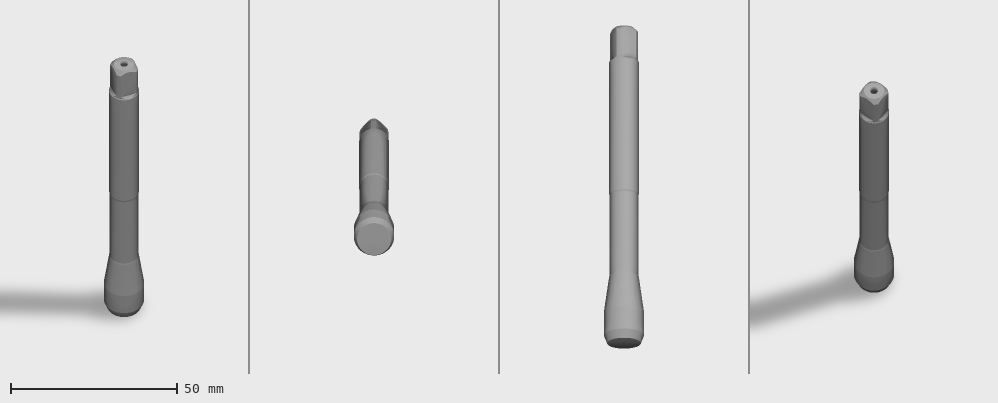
import cadquery as cq
import math

TOTAL_LENGTH = 100
SHANK_TOP = 89.4
SHANK_BOTTOM = 46.9
HEAD_TOP = 21.5

SHANK_DIAMETER = 9
SHANK_TOP_CHAMFER_HEIGHT = 0.3
NECK_DIAMETER = 8.7
SHANK_TAPER_LENGTH = 0.6

SQUARE_WIDTH = 7
SQUARE_CORNER_DIAMETER = 8.6
FLAT_BOTTOM = 90
FLAT_RUNOUT_WIDTH = 1.2
FLAT_RUNOUT_ANGLE = 40
FLAT_RUNOUT_HEIGHT = FLAT_RUNOUT_WIDTH * math.tan(math.radians(FLAT_RUNOUT_ANGLE))
SQUARE_END_DIAMETER = 6
SQUARE_END_CHAMFER = (SQUARE_CORNER_DIAMETER - SQUARE_END_DIAMETER) / 2

CENTRE_HOLE_DIAMETER = 2
CENTRE_HOLE_MOUTH_DIAMETER = 2.5
CENTRE_HOLE_MOUTH_DEPTH = 0.4
CENTRE_HOLE_BORE_DEPTH = 3
CENTRE_HOLE_CONE_ANGLE = 120

HEAD_DIAMETER = 12.2
HEAD_NECK_DIAMETER = 9
HEAD_TOP_TAPER = 0.6
HEAD_CYLINDER_TOP = 9.6
HEAD_CYLINDER_BOTTOM = 2.6
HEAD_TIP_DIAMETER = 10.2


def revolve_profile(radius_and_height):
    """Turn a half profile, given as (radius, height) points, around the Z axis."""
    return (
        cq.Workplane("XZ")
        .polyline(radius_and_height)
        .close()
        .revolve(360, (0, 0), (0, 1))
    )


def make_square_envelope():
    """Square bar whose four flats run out in slopes onto the shank."""
    flared_width = SQUARE_WIDTH + 2 * FLAT_RUNOUT_WIDTH
    straight_bar = (
        cq.Workplane("XY")
        .workplane(offset=FLAT_BOTTOM)
        .rect(SQUARE_WIDTH, SQUARE_WIDTH)
        .extrude(TOTAL_LENGTH - FLAT_BOTTOM)
    )
    runout = (
        cq.Workplane("XY")
        .workplane(offset=FLAT_BOTTOM - FLAT_RUNOUT_HEIGHT)
        .rect(flared_width, flared_width)
        .workplane(offset=FLAT_RUNOUT_HEIGHT)
        .rect(SQUARE_WIDTH, SQUARE_WIDTH)
        .loft(ruled=True)
    )
    full_bar = (
        cq.Workplane("XY")
        .rect(flared_width, flared_width)
        .extrude(FLAT_BOTTOM - FLAT_RUNOUT_HEIGHT)
    )
    return full_bar.union(runout).union(straight_bar)


def make_centre_hole():
    """Centre hole in the end of the driving square."""
    hole_radius = CENTRE_HOLE_DIAMETER / 2
    cone_depth = hole_radius / math.tan(math.radians(CENTRE_HOLE_CONE_ANGLE / 2))
    return revolve_profile([
        (0, TOTAL_LENGTH),
        (CENTRE_HOLE_MOUTH_DIAMETER / 2, TOTAL_LENGTH),
        (hole_radius, TOTAL_LENGTH - CENTRE_HOLE_MOUTH_DEPTH),
        (hole_radius, TOTAL_LENGTH - CENTRE_HOLE_BORE_DEPTH),
        (0, TOTAL_LENGTH - CENTRE_HOLE_BORE_DEPTH - cone_depth),
    ])


def make_shank():
    """Shank and slimmer neck, with the driving square on top."""
    shank_radius = SHANK_DIAMETER / 2
    neck_radius = NECK_DIAMETER / 2
    corner_radius = SQUARE_CORNER_DIAMETER / 2
    turned_shank = revolve_profile([
        (0, HEAD_TOP),
        (neck_radius, HEAD_TOP),
        (neck_radius, SHANK_BOTTOM),
        (shank_radius, SHANK_BOTTOM + SHANK_TAPER_LENGTH),
        (shank_radius, SHANK_TOP - SHANK_TOP_CHAMFER_HEIGHT),
        (corner_radius, SHANK_TOP),
        (corner_radius, TOTAL_LENGTH - SQUARE_END_CHAMFER),
        (SQUARE_END_DIAMETER / 2, TOTAL_LENGTH),
        (0, TOTAL_LENGTH),
    ])
    return turned_shank.intersect(make_square_envelope()).cut(make_centre_hole())


def make_head():
    """Tapered head that continues the neck down to the chamfered tip."""
    head_radius = HEAD_DIAMETER / 2
    return revolve_profile([
        (0, 0),
        (HEAD_TIP_DIAMETER / 2, 0),
        (head_radius, HEAD_CYLINDER_BOTTOM),
        (head_radius, HEAD_CYLINDER_TOP),
        (HEAD_NECK_DIAMETER / 2, HEAD_TOP - HEAD_TOP_TAPER),
        (NECK_DIAMETER / 2, HEAD_TOP),
        (0, HEAD_TOP),
    ])


shank = make_shank()
head = make_head()
result = cq.Compound.makeCompound([shank.val(), head.val()])